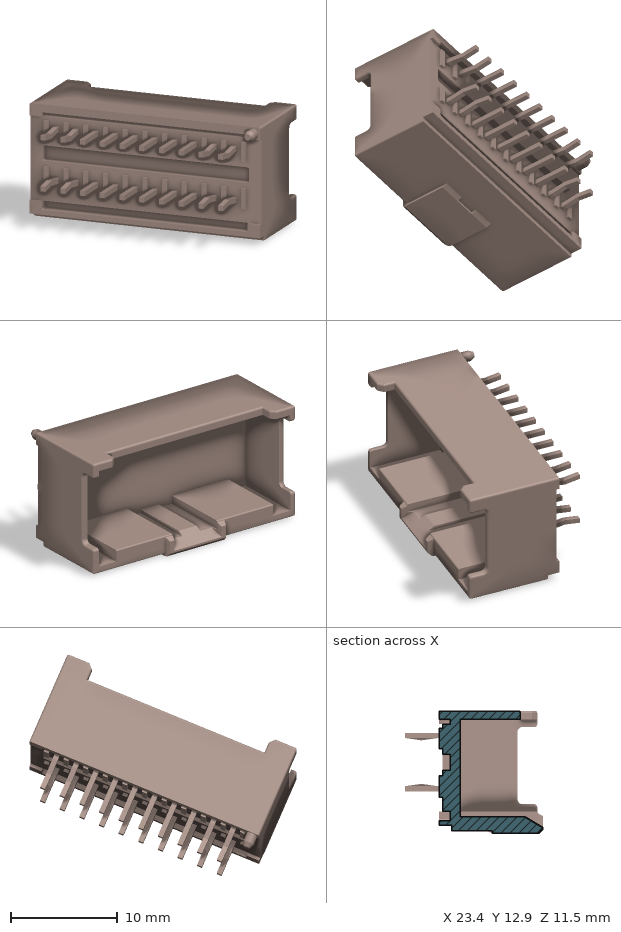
import cadquery as cq

body_width = 23.4
body_depth = 9.2
body_height = 11.25
edge_radius = 0.2
bottom_edge_radius = 0.15
socket_edge_radius = 0.15
tolerance = 0.002
overlap = 0.23

end_wall = 0.6
bottom_wall = 1.83
keyway_bottom_z = 0.65
keyway_width = 2.01
top_wall = 0.8
cavity_floor_y = 2.0

end_notch_floor_y = 7.35
end_notch_bottom_z = 2.5
end_notch_top_z = 9.73
end_notch_radius = 0.47
end_notch_tip_radius = 0.25
top_notch_width = 18.02
top_notch_floor_y = 7.63
top_notch_chamfer = 0.5

recess_depth = 0.3
recess_bottom_z = 1.8
recess_top_z = 10.05
heel_step_depth = 1.15
heel_step_height = 0.5
pocket_width = 20.87
pocket_floor_y = 1.0
pocket_radius = 0.15
pocket_spans = ((0.98, recess_bottom_z), (5.69, 7.18), (recess_top_z, 10.45))

pins_per_row = 10
pin_row_span = 18.0
pin_pitch = pin_row_span / (pins_per_row - 1)
pin_size = 0.5
pin_length = 3.2
bent_per_end = 2
bend_offset = 0.2
bend_start = 0.2
bend_end = 3.14
bend_middle = (bend_start + bend_end) / 2
upper_pin_z = 8.95
lower_pin_z = 3.95
rib_spans = ((3.14, 5.2), (7.68, 9.66))

peg_x = 11.0
peg_z = 10.6
peg_radius = 0.51
peg_tip_radius = 0.3
peg_shank = 0.91
peg_length = 1.35

latch_overhang = 0.54
latch_back_y = body_depth + latch_overhang
latch_base_width = 6.83
latch_tip_width = 6.45
latch_base_top_z = 1.68
latch_tip_top_z = 1.38
latch_tip_bottom_z = 0.15
pad_thickness = 0.23
pad_back_y = 9.35
pad_front_y = 4.95
pad_ramp_end_y = 4.45
pad_width = 6.93
pad_gap_width = 2.2

groove_width = 5.2
groove_floor_z = 0.98
key_rib_width = 2.05
key_rib_top_z = 1.33
ramp_start_y = 8.63
ramp_rib_y = 8.05
ramp_inner_width = 4.73
ramp_outer_width = 5.48
ramp_slope = (key_rib_top_z - groove_floor_z) / (ramp_start_y - ramp_rib_y)


def block(width, y_span, z_span, x_center=0.0):
    """Box centered on x_center, between the two Y and the two Z limits."""
    y0, y1 = y_span
    z0, z1 = z_span
    solid = cq.Workplane("XY").box(width, y1 - y0, z1 - z0, centered=(True, False, False))
    return solid.translate((x_center, y0, z0))


def side_profile(points, width, x_center=0.0):
    """Closed outline of (y, z) points, extruded along X about x_center."""
    sketch = cq.Workplane("YZ").polyline(points).close()
    return sketch.extrude(width / 2, both=True).translate((x_center, 0, 0))


def plan_profile(points, z0, z1):
    """Closed outline of (x, y) points, extruded from z0 up to z1."""
    return cq.Workplane("XY").workplane(offset=z0).polyline(points).close().extrude(z1 - z0)


def edges_within(solid, corner, opposite, direction=None):
    """Edges whose centers lie in the given box, optionally only those along one axis."""
    edges = solid.edges(direction) if direction else solid.edges()
    return edges.edges(cq.selectors.BoxSelector(corner, opposite))


def cut_socket(shell):
    """Hollow the housing, round the lower mouth edge and sink the two corner keyways."""
    ceiling_z = body_height - top_wall
    cavity_width = body_width - 2 * end_wall
    shell = shell.cut(block(cavity_width, (cavity_floor_y, body_depth), (bottom_wall, ceiling_z)))
    mouth_edge = edges_within(
        shell,
        (-body_width, body_depth - tolerance, bottom_wall - tolerance),
        (body_width, body_depth + tolerance, bottom_wall + tolerance),
    )
    shell = mouth_edge.fillet(socket_edge_radius)
    for side in (-1, 1):
        keyway_x = side * (cavity_width - keyway_width) / 2
        keyway = block(keyway_width, (cavity_floor_y, body_depth), (keyway_bottom_z, ceiling_z), keyway_x)
        shell = shell.cut(keyway)
    return shell


def cut_end_notches(shell):
    """Notch through both end walls, with rounded inner corners and rounded tips."""
    end_notch = block(
        body_width, (end_notch_floor_y, body_depth), (end_notch_bottom_z, end_notch_top_z)
    )
    shell = shell.cut(end_notch.edges("|X and <Y").fillet(end_notch_radius))
    notch_tips = edges_within(
        shell,
        (-body_width, body_depth - tolerance, end_notch_bottom_z - tolerance),
        (body_width, body_depth + tolerance, end_notch_top_z + tolerance),
        "|X",
    )
    return notch_tips.fillet(end_notch_tip_radius)


def top_notch():
    """Wide notch in the top wall, flared at the mouth."""
    half = top_notch_width / 2
    half_mouth = half + top_notch_chamfer
    chamfer_y = body_depth - top_notch_chamfer
    outline = [
        (-half, top_notch_floor_y),
        (half, top_notch_floor_y),
        (half, chamfer_y),
        (half_mouth, body_depth),
        (-half_mouth, body_depth),
        (-half, chamfer_y),
    ]
    return plan_profile(outline, body_height / 2, body_height)


def round_shell(shell):
    """Round all outer edges behind the front face, then the two long bottom edges."""
    far = 2 * body_width
    outer_edges = shell.faces("<X or >X or >Z").edges()
    above_bottom = cq.selectors.BoxSelector((-far, tolerance, tolerance), (far, far, far))
    shell = outer_edges.edges(above_bottom).fillet(edge_radius)
    bottom_edges = edges_within(shell, (-far, 0, -tolerance), (far, body_depth, tolerance), "|Y")
    return bottom_edges.fillet(bottom_edge_radius)


def seating_cuts():
    """Front recess and the step along the bottom front edge."""
    recess = block(body_width, (0, recess_depth), (recess_bottom_z, recess_top_z))
    heel_step = block(body_width, (0, heel_step_depth), (0, heel_step_height))
    return recess.union(heel_step)


def pockets():
    """Three shallow pockets with rounded corners in the front face."""
    low, middle, high = (block(pocket_width, (0, pocket_floor_y), span) for span in pocket_spans)
    low = low.edges("|Y and <Z").fillet(pocket_radius)
    middle = middle.edges("|Y").fillet(pocket_radius)
    high = high.edges("|Y and >Z").fillet(pocket_radius)
    return low.union(middle).union(high)


def latch():
    """Tapered block behind the bottom wall and the pad under it."""
    half_base = latch_base_width / 2
    half_tip = latch_tip_width / 2
    outline = plan_profile(
        [
            (-half_base, pad_front_y),
            (half_base, pad_front_y),
            (half_base, body_depth),
            (half_tip, latch_back_y),
            (-half_tip, latch_back_y),
            (-half_base, body_depth),
        ],
        -pad_thickness,
        latch_base_top_z,
    )
    profile = side_profile(
        [
            (body_depth - overlap, latch_base_top_z - overlap),
            (body_depth, latch_base_top_z),
            (latch_back_y, latch_tip_top_z),
            (latch_back_y, latch_tip_bottom_z),
            (pad_back_y, -pad_thickness),
            (body_depth - overlap, -pad_thickness),
        ],
        pad_width,
    )
    pad = side_profile(
        [
            (body_depth, overlap),
            (body_depth, -pad_thickness),
            (pad_front_y, -pad_thickness),
            (pad_ramp_end_y, 0),
            (pad_ramp_end_y, overlap),
        ],
        pad_width,
    )
    pad_gap = block(pad_gap_width, (pad_ramp_end_y, pad_front_y), (-pad_thickness, 0))
    return outline.intersect(profile).union(pad.cut(pad_gap))


def key_groove():
    """Groove with a raised center rib, opening into a tapered ramp at the back."""
    groove = block(groove_width, (cavity_floor_y, latch_back_y), (groove_floor_z, bottom_wall))
    key_rib = block(key_rib_width, (cavity_floor_y, latch_back_y), (groove_floor_z, key_rib_top_z))
    groove = groove.cut(key_rib)
    ramp_end_z = groove_floor_z - ramp_slope * (latch_back_y - ramp_start_y)
    ramp = side_profile(
        [
            (ramp_rib_y, key_rib_top_z),
            (latch_back_y, ramp_end_z),
            (latch_back_y, bottom_wall),
            (ramp_rib_y, bottom_wall),
        ],
        ramp_outer_width,
    )
    half_inner = ramp_inner_width / 2
    half_outer = ramp_outer_width / 2
    ramp_plan = plan_profile(
        [
            (-half_inner, ramp_rib_y),
            (half_inner, ramp_rib_y),
            (half_inner, ramp_start_y),
            (half_outer, latch_back_y),
            (-half_outer, latch_back_y),
            (-half_inner, ramp_start_y),
        ],
        ramp_end_z,
        bottom_wall,
    )
    return groove.union(ramp.intersect(ramp_plan))


def pin(x, z, bend):
    """Square pin; bend is the Z offset halfway along it."""
    half = pin_size / 2
    path = [
        (pocket_floor_y, z),
        (-bend_start, z),
        (-bend_middle, z + bend),
        (-bend_end, z),
        (-pin_length, z),
    ]
    upper = [(y, center + half) for y, center in path]
    lower = [(y, center - half) for y, center in reversed(path)]
    return side_profile(upper + lower, pin_size, x)


def peg():
    """Round locating peg with a conical tip."""
    outline = [
        (0, recess_depth),
        (-peg_radius, recess_depth),
        (-peg_radius, -peg_shank),
        (-peg_tip_radius, -peg_length),
        (0, -peg_length),
    ]
    solid = cq.Workplane("XY").polyline(outline).close().revolve(360, (0, 0, 0), (0, 1, 0))
    return solid.translate((peg_x, 0, peg_z))


housing = block(body_width, (0, body_depth), (0, body_height))
housing = cut_end_notches(cut_socket(housing)).cut(top_notch())
result = round_shell(housing).cut(seating_cuts()).cut(pockets())
result = result.union(latch()).cut(key_groove())

for index in range(pins_per_row):
    pin_x = (index - (pins_per_row - 1) / 2) * pin_pitch
    is_bent = min(index, pins_per_row - 1 - index) < bent_per_end
    offset = bend_offset if is_bent else 0.0
    result = result.union(pin(pin_x, upper_pin_z, -offset))
    result = result.union(pin(pin_x, lower_pin_z, offset))

for index in range(pins_per_row + 1):
    rib_x = (index - pins_per_row / 2) * pin_pitch
    for rib_span in rib_spans:
        result = result.union(block(pin_size, (0, pocket_floor_y), rib_span, rib_x))

result = result.union(peg())